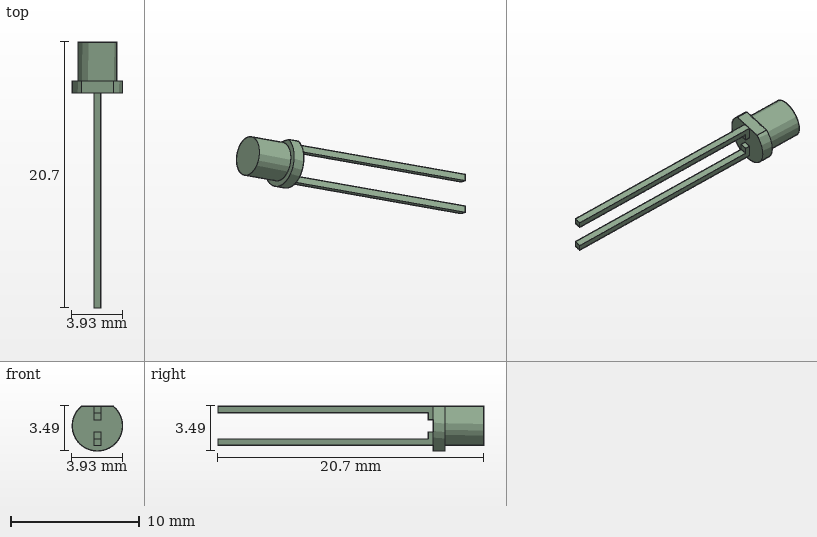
import cadquery as cq

total_length = 20.7
lens_diameter = 3.05
lens_length = 3.02
flange_diameter = 3.93
flange_thickness = 0.94
lead_pitch = 2.54
lead_width = 0.56
lead_foot_height = 1.06
lead_foot_thickness = 0.38

flat_height = lens_diameter / 2
lead_thickness = lens_diameter - lead_pitch
lead_length = total_length - lens_length - flange_thickness
lead_outer_height = (lead_pitch + lead_thickness) / 2
lead_inner_height = lead_outer_height - lead_thickness
lead_foot_end = lead_outer_height - lead_foot_height


def cylinder_along_y(diameter, start_y, length):
    """Cylinder on the Y axis, from start_y towards +Y."""
    plane = cq.Plane(origin=(0, start_y, 0), xDir=(1, 0, 0), normal=(0, 1, 0))
    return cq.Workplane(plane).circle(diameter / 2).extrude(length)


def make_housing():
    """Flat-ended lens cylinder on a flange with one flat on its +Z side."""
    flange = cylinder_along_y(flange_diameter, 0, flange_thickness)
    above_flat = (
        cq.Workplane("XY", origin=(0, flange_thickness / 2, flat_height))
        .rect(flange_diameter, flange_thickness)
        .extrude(flange_diameter)
    )
    lens = cylinder_along_y(lens_diameter, flange_thickness, lens_length)
    return flange.cut(above_flat).union(lens)


def make_lead(side):
    """L-shaped lead whose foot sits on the flange; side is +1 for upper, -1 for lower."""
    profile = [
        (0, side * lead_outer_height),
        (-lead_length, side * lead_outer_height),
        (-lead_length, side * lead_inner_height),
        (-lead_foot_thickness, side * lead_inner_height),
        (-lead_foot_thickness, side * lead_foot_end),
        (0, side * lead_foot_end),
    ]
    return cq.Workplane("YZ").polyline(profile).close().extrude(lead_width / 2, both=True)


housing = make_housing()
leads = [make_lead(side) for side in (1, -1)]

result = cq.Compound.makeCompound([housing.val(), *[lead.val() for lead in leads]])